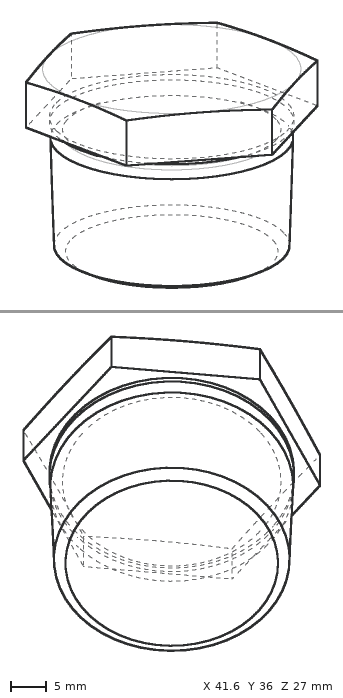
import cadquery as cq
import math

corner_width = 41.55
flat_radius = corner_width / 2 * math.cos(math.pi / 6)
total_height = 27.0
head_height = 7.05
corner_drop = 0.37

collar_radius = 17.05
collar_height = 0.8

groove_height = 2.3
groove_edge_radius = 15.42
groove_bottom_radius = 15.2
groove_bottom_height = 0.62

plug_top_radius = 16.9
taper_ratio = 1 / 32
end_radius = 14.8
end_chamfer_height = 0.87

head_base = total_height - head_height
collar_base = head_base - collar_height
plug_top = collar_base - groove_height
groove_middle = (collar_base + plug_top) / 2
plug_bottom_radius = plug_top_radius - (plug_top - end_chamfer_height) * taper_ratio


def make_head():
    """Hexagon with its corners trimmed by a shallow cone on top."""
    hexagon = (
        cq.Workplane("XY", origin=(0, 0, head_base))
        .polygon(6, corner_width)
        .extrude(head_height)
    )
    corner_radius = corner_width / 2
    overshoot = 0.4
    slope = corner_drop / (corner_radius - flat_radius)
    outer_radius = corner_radius + overshoot
    outer_z = total_height - slope * (outer_radius - flat_radius)
    envelope = (
        cq.Workplane("XZ")
        .moveTo(0, head_base)
        .lineTo(outer_radius, head_base)
        .lineTo(outer_radius, outer_z)
        .lineTo(flat_radius, total_height)
        .lineTo(0, total_height)
        .close()
        .revolve(360, (0, 0, 0), (0, 1, 0))
    )
    return hexagon.intersect(envelope)


def make_body():
    """Collar, groove and tapered plug turned as one profile."""
    return (
        cq.Workplane("XZ")
        .lineTo(end_radius, 0)
        .lineTo(plug_bottom_radius, end_chamfer_height)
        .lineTo(plug_top_radius, plug_top)
        .lineTo(groove_edge_radius, groove_middle - groove_bottom_height / 2)
        .threePointArc(
            (groove_bottom_radius, groove_middle),
            (groove_edge_radius, groove_middle + groove_bottom_height / 2),
        )
        .lineTo(collar_radius, collar_base)
        .lineTo(collar_radius, head_base)
        .lineTo(0, head_base)
        .close()
        .revolve(360, (0, 0, 0), (0, 1, 0))
    )


result = make_head().union(make_body())